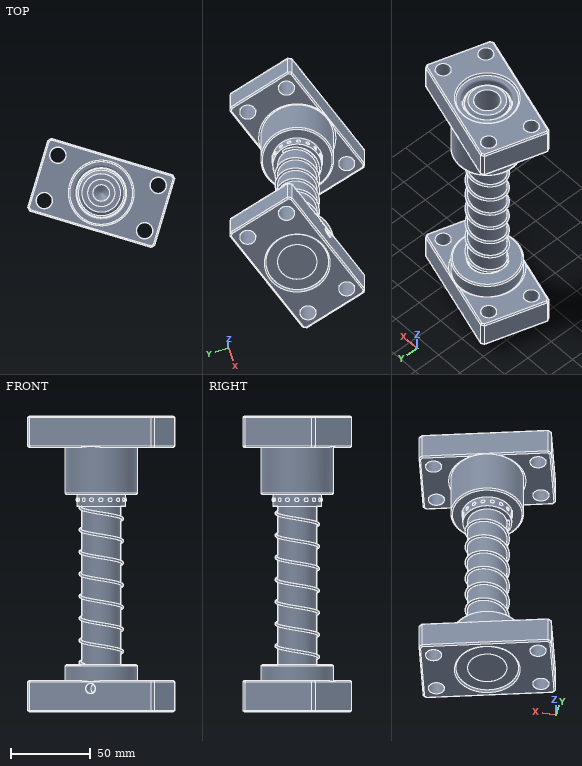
import cadquery as cq
import math

total_height = 187.2
column_diameter = 24.9
column_radius = column_diameter / 2
flange_radius = 23.0
neck_radius = 19.8
edge_chamfer = 1.0

plate_length = 83.9
plate_width = 48.0
plate_thickness = 20.0
plate_turn = -16.7
corner_chamfer = 1.9
screw_hole_radius = 5.0
screw_spacing_long = 66.3
screw_spacing_wide = 30.0
seat_depth = plate_thickness / 2
seat_chamfer = 1.4
mouth_chamfer = 1.0
mouth_depth = 1.5
upper_plate_base = total_height - plate_thickness

side_hole_radius = 3.2
side_hole_z = 14.8

bush_bottom = 137.4
bush_top = total_height - mouth_depth
bush_bore_diameter = 32.0
bush_bore_radius = bush_bore_diameter / 2
bush_mouth_fillet = 1.5

collar_top = 30.0
collar_bore_chamfer = 1.0

column_top = 185.0
column_bottom = mouth_depth
column_face_radius = 12.2
head_radius = 14.5
head_bevel_height = 2.2
head_height = 3.7
column_bore_radius = 8.6
column_bore_depth = 24.3
drill_radius = 5.2
drill_depth = 9.4
drill_tip_angle = 118.0

cage_diameter = 30.9
cage_radius = cage_diameter / 2
cage_bottom = 130.0
cage_top = column_top - head_height
ball_count = 16
ball_radius = 1.7
ball_z = 134.2
ball_turn = -1.1
ball_circle_radius = bush_bore_radius - ball_radius

wire_radius = 0.79
coil_clearance = 0.04
coil_radius = column_radius + coil_clearance + wire_radius
coil_height = cage_bottom - collar_top
coil_turns = 7.16
coil_start_angle = 214.0


def cylinder(radius, bottom, top):
    """Upright cylinder on the Z axis between two heights."""
    return cq.Workplane("XY", origin=(0, 0, bottom)).circle(radius).extrude(top - bottom)


def revolve(outline):
    """Turn a closed (radius, z) outline about the Z axis."""
    return cq.Workplane("XZ").polyline(outline).close().revolve(360, (0, 0), (0, 1))


def make_side_hole():
    """Cutter running from the middle of the long front face of the plate to the axis."""
    drill = cq.Workplane("XZ", origin=(0, 0, side_hole_z)).circle(side_hole_radius).extrude(plate_width / 2)
    return drill.rotate((0, 0, 0), (0, 0, 1), plate_turn)


def make_plate():
    """Plate on z = 0, with its seat opening upward and its mouth opening downward."""
    block = (
        cq.Workplane("XY")
        .box(plate_length, plate_width, plate_thickness, centered=(True, True, False))
        .edges("|Z")
        .chamfer(corner_chamfer)
        .faces("<Z or >Z")
        .chamfer(edge_chamfer)
        .faces(">Z")
        .workplane()
        .rect(screw_spacing_long, screw_spacing_wide, forConstruction=True)
        .vertices()
        .circle(screw_hole_radius)
        .cutThruAll()
    )
    seat_floor = plate_thickness - seat_depth
    bore = revolve([
        (0, 0),
        (neck_radius + mouth_chamfer, 0),
        (neck_radius, mouth_depth),
        (neck_radius, seat_floor),
        (flange_radius, seat_floor),
        (flange_radius, plate_thickness - seat_chamfer),
        (flange_radius + seat_chamfer, plate_thickness),
        (0, plate_thickness),
    ])
    return block.cut(bore)


def make_lower_plate():
    return make_plate().rotate((0, 0, 0), (0, 0, 1), plate_turn).cut(make_side_hole())


def make_upper_plate():
    flipped = make_plate().rotate((0, 0, 0), (1, 0, 0), 180).translate((0, 0, total_height))
    return flipped.rotate((0, 0, 0), (0, 0, 1), plate_turn)


def make_bush():
    shoulder_z = upper_plate_base + seat_depth
    flange = cylinder(flange_radius, bush_bottom, shoulder_z).faces("<Z").chamfer(edge_chamfer)
    neck = cylinder(neck_radius, shoulder_z, bush_top)
    bore = cylinder(bush_bore_radius, bush_bottom, bush_top)
    bush_body = flange.union(neck).cut(bore)
    bore_edge = cq.selectors.RadiusNthSelector(0)
    return bush_body.faces(">Z").edges(bore_edge).fillet(bush_mouth_fillet)


def make_collar():
    shoulder_z = plate_thickness - seat_depth
    flange = cylinder(flange_radius, shoulder_z, collar_top).faces(">Z").chamfer(edge_chamfer)
    neck = cylinder(neck_radius, mouth_depth, shoulder_z)
    bore = revolve([
        (0, mouth_depth),
        (column_radius, mouth_depth),
        (column_radius, collar_top - collar_bore_chamfer),
        (column_radius + collar_bore_chamfer, collar_top),
        (0, collar_top),
    ])
    return flange.union(neck).cut(bore).cut(make_side_hole())


def make_column():
    """Column with a bevelled head, bored from the top and drilled to a conical tip."""
    bore_floor = column_top - column_bore_depth
    drill_floor = bore_floor - drill_depth
    tip_height = drill_radius / math.tan(math.radians(drill_tip_angle / 2))
    return revolve([
        (0, column_bottom),
        (column_radius, column_bottom),
        (column_radius, cage_top),
        (head_radius, cage_top),
        (head_radius, column_top - head_bevel_height),
        (column_face_radius, column_top),
        (column_bore_radius, column_top),
        (column_bore_radius, bore_floor),
        (drill_radius, bore_floor),
        (drill_radius, drill_floor),
        (0, drill_floor - tip_height),
    ])


def make_ball_cage():
    """Sleeve with one ring of balls standing proud of its outer wall."""
    cage = cylinder(cage_radius, cage_bottom, cage_top).cut(
        cylinder(column_radius, cage_bottom, cage_top)
    )
    for index in range(ball_count):
        angle = math.radians(ball_turn + index * 360 / ball_count)
        center = (ball_circle_radius * math.cos(angle), ball_circle_radius * math.sin(angle), ball_z)
        cage = cage.union(cq.Workplane("XY").sphere(ball_radius).translate(center))
    return cage


def make_spring():
    """Left-hand coil from the collar to the cage, with both ends ground flat."""
    path = cq.Wire.makeHelix(coil_height / coil_turns, coil_height, coil_radius, lefthand=True)
    coil = (
        cq.Workplane("XZ", origin=(coil_radius, 0, 0))
        .circle(wire_radius)
        .sweep(cq.Workplane(path), isFrenet=True)
        .rotate((0, 0, 0), (0, 0, 1), coil_start_angle)
        .translate((0, 0, collar_top))
    )
    return coil.intersect(cylinder(flange_radius, collar_top, cage_bottom))


lower_plate = make_lower_plate()
upper_plate = make_upper_plate()
bush = make_bush()
collar = make_collar()
column = make_column()
ball_cage = make_ball_cage()
spring = make_spring()

result = cq.Compound.makeCompound([
    lower_plate.solids().val(),
    upper_plate.solids().val(),
    bush.solids().val(),
    collar.solids().val(),
    column.solids().val(),
    ball_cage.solids().val(),
    spring.solids().val(),
])